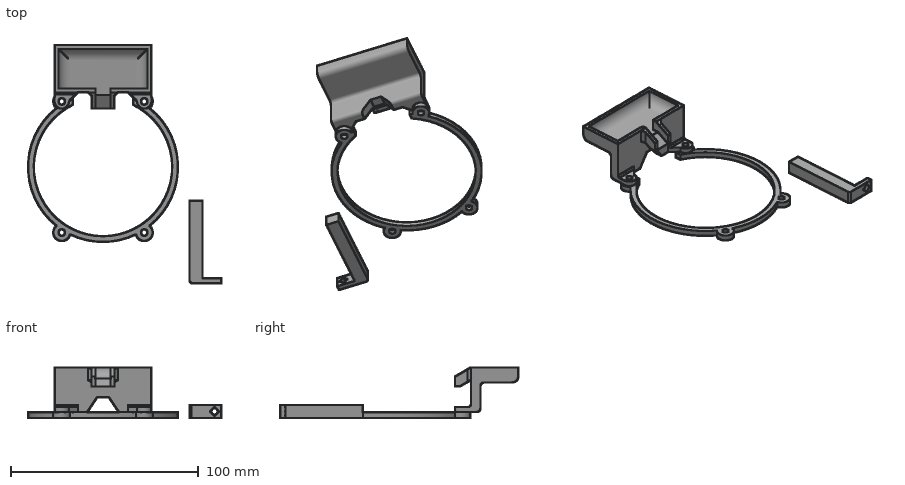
import cadquery as cq
import math

ring_outer_radius = 40.0
ring_inner_radius = 36.8
ring_height = 3.2
ring_gap_half_width = 16.0
boss_radius = 4.6
hole_diameter = 3.3
hole_x = 22.0
hole_y = 34.9

total_height = 27.0
tray_height = 8.1
tray_front_y = 39.7
tray_back_y = 65.0
wall = 2.2
floor_thickness = 2.2
tray_bottom_z = total_height - tray_height
tray_floor_z = tray_bottom_z + floor_thickness
cove_radius = tray_height - floor_thickness
tray_edge_radius = 3.3
column_thickness = 5.1
column_back_y = tray_front_y + column_thickness
column_edge_radius = 2.0
foot_radius = 3.8
foot_thickness = 2.8
foot_top_z = ring_height + foot_thickness
foot_bevel = 1.0
tray_half_width = hole_x + foot_radius
arch_bottom_half_width = 8.4
arch_top_half_width = 3.0
arch_top_z = 11.0

spout_slope = math.tan(math.radians(30))
spout_half_width = 6.1
channel_half_width = 4.0
spout_tip_y = 31.1
spout_side_height = 6.8
spout_tip_z = 16.9
spout_root_flare = 1.8

arm_right_x = 63.0
arm_front_y = tray_back_y - 126.8
arm_length = 44.0
arm_height = 7.0
arm_width = 7.0
arm_toe_length = 17.0
arm_toe_thickness = 2.8
arm_corner_bevel = 1.0
arm_hole_half_diagonal = 2.3
arm_hole_inset = 3.7


def box(x0, x1, y0, y1, z0, z1):
    """Box between opposite corners."""
    return cq.Workplane("XY").box(x1 - x0, y1 - y0, z1 - z0, centered=False).translate((x0, y0, z0))


def side_prism(points, half_width):
    """(Y, Z) outline extruded equally to both sides of X = 0."""
    return cq.Workplane("YZ").polyline(points).close().extrude(half_width, both=True)


def make_ring():
    disc = cq.Workplane("XY").circle(ring_outer_radius).extrude(ring_height)
    corners = [(sx * hole_x, sy * hole_y) for sx in (-1, 1) for sy in (-1, 1)]
    bosses = cq.Workplane("XY").pushPoints(corners).circle(boss_radius).extrude(ring_height)
    holes = cq.Workplane("XY").pushPoints(corners).circle(hole_diameter / 2).extrude(ring_height)
    bore = cq.Workplane("XY").circle(ring_inner_radius).extrude(ring_height)
    gap = box(-ring_gap_half_width, ring_gap_half_width, 0, tray_back_y, 0, ring_height)
    return disc.union(bosses).cut(bore).cut(gap).cut(holes)


def make_tray_shell():
    """Tray block on its column, with rounded edges at the back."""
    tray = box(-tray_half_width, tray_half_width, tray_front_y, tray_back_y, tray_bottom_z, total_height)
    column = box(-tray_half_width, tray_half_width, tray_front_y, column_back_y, ring_height, total_height)
    shell = tray.union(column)
    shell = shell.edges(cq.selectors.NearestToPointSelector((0, tray_back_y, tray_bottom_z))).fillet(
        tray_edge_radius)
    for z in (tray_bottom_z, ring_height):
        edge = cq.selectors.NearestToPointSelector((0, column_back_y, z))
        shell = shell.edges(edge).fillet(column_edge_radius)
    return shell


def make_tray_cavity():
    """Tray hollow: coved at the back and both ends, upright at the front."""
    half_width = tray_half_width - wall
    front_y = tray_front_y + wall
    back_y = tray_back_y - wall
    diagonal = cove_radius * math.sqrt(0.5)
    across = (
        cq.Workplane("XZ", origin=(0, front_y, 0))
        .moveTo(-half_width, total_height)
        .threePointArc(
            (-half_width + cove_radius - diagonal, total_height - diagonal),
            (-half_width + cove_radius, tray_floor_z),
        )
        .lineTo(half_width - cove_radius, tray_floor_z)
        .threePointArc(
            (half_width - cove_radius + diagonal, total_height - diagonal),
            (half_width, total_height),
        )
        .close()
        .extrude(front_y - back_y)
    )
    along = (
        cq.Workplane("YZ")
        .moveTo(front_y, total_height)
        .lineTo(front_y, tray_floor_z)
        .lineTo(back_y - cove_radius, tray_floor_z)
        .threePointArc(
            (back_y - cove_radius + diagonal, total_height - diagonal),
            (back_y, total_height),
        )
        .close()
        .extrude(half_width, both=True)
    )
    return across.intersect(along)


def make_foot(side):
    """Screw foot under one end of the column; side is -1 or 1."""
    outer_x = side * tray_half_width
    inner_x = side * (hole_x - foot_radius)
    root_x = inner_x - side * (tray_front_y - hole_y)
    plan = (
        cq.Workplane("XY", origin=(0, 0, ring_height))
        .moveTo(outer_x, tray_front_y)
        .lineTo(outer_x, hole_y)
        .threePointArc((side * hole_x, hole_y - foot_radius), (inner_x, hole_y))
        .lineTo(root_x, tray_front_y)
        .close()
        .extrude(foot_thickness + foot_bevel)
    )
    profile = side_prism(
        [
            (tray_front_y, ring_height),
            (hole_y - foot_radius, ring_height),
            (hole_y - foot_radius, foot_top_z),
            (tray_front_y - foot_bevel, foot_top_z),
            (tray_front_y, foot_top_z + foot_bevel),
        ],
        tray_half_width,
    )
    return plan.intersect(profile)


def make_spout():
    """Solid spout with a flared root, before its channel is cut."""
    run = tray_front_y - spout_tip_y
    root_bottom_z = total_height - spout_side_height
    bottom_run = (root_bottom_z - spout_tip_z) / spout_slope
    profile = side_prism(
        [
            (tray_front_y, total_height),
            (spout_tip_y, total_height - run * spout_slope),
            (spout_tip_y, spout_tip_z),
            (tray_front_y - bottom_run, spout_tip_z),
            (tray_front_y, root_bottom_z),
        ],
        tray_half_width,
    )
    root_half_width = spout_half_width + spout_root_flare
    flare_y = tray_front_y - spout_root_flare
    plan = (
        cq.Workplane("XY")
        .polyline(
            [
                (-root_half_width, tray_front_y),
                (-spout_half_width, flare_y),
                (-spout_half_width, spout_tip_y),
                (spout_half_width, spout_tip_y),
                (spout_half_width, flare_y),
                (root_half_width, tray_front_y),
            ]
        )
        .close()
        .extrude(total_height)
    )
    return profile.intersect(plan)


def make_channel():
    """Pouring channel: level through the tray wall, then sloping to a sharp lip."""
    bend_y = spout_tip_y + (tray_floor_z - spout_tip_z) / spout_slope
    return side_prism(
        [
            (tray_front_y + wall, total_height),
            (tray_front_y + wall, tray_floor_z),
            (bend_y, tray_floor_z),
            (spout_tip_y, spout_tip_z),
            (spout_tip_y, total_height),
        ],
        channel_half_width,
    )


def make_arch():
    """Tapered opening at the bottom of the column."""
    return (
        cq.Workplane("XZ", origin=(0, tray_front_y, 0))
        .polyline(
            [
                (-arch_bottom_half_width, ring_height),
                (-arch_top_half_width, arch_top_z),
                (arch_top_half_width, arch_top_z),
                (arch_bottom_half_width, ring_height),
            ]
        )
        .close()
        .extrude(-column_thickness)
    )


def make_tray():
    tray = make_tray_shell().cut(make_tray_cavity()).cut(make_arch())
    for side in (-1, 1):
        tray = tray.union(make_foot(side))
    holes = (
        cq.Workplane("XY", origin=(0, 0, ring_height))
        .pushPoints([(-hole_x, hole_y), (hole_x, hole_y)])
        .circle(hole_diameter / 2)
        .extrude(foot_thickness)
    )
    return tray.union(make_spout()).cut(make_channel()).cut(holes)


def make_arm():
    left_x = arm_right_x - arm_toe_length
    toe_back_y = arm_front_y + arm_toe_thickness
    body = (
        cq.Workplane("XY")
        .polyline(
            [
                (left_x + arm_corner_bevel, arm_front_y),
                (arm_right_x, arm_front_y),
                (arm_right_x, toe_back_y),
                (left_x + arm_width, toe_back_y),
                (left_x + arm_width, arm_front_y + arm_length),
                (left_x, arm_front_y + arm_length),
                (left_x, arm_front_y + arm_corner_bevel),
            ]
        )
        .close()
        .extrude(arm_height)
    )
    diamond_hole = (
        cq.Workplane("XZ", origin=(arm_right_x - arm_hole_inset, arm_front_y, arm_height / 2))
        .polygon(4, 2 * arm_hole_half_diagonal)
        .extrude(-arm_toe_thickness)
    )
    return body.cut(diamond_hole)


ring = make_ring()
tray = make_tray()
arm = make_arm()
result = cq.Compound.makeCompound([ring.val(), tray.val(), arm.val()])